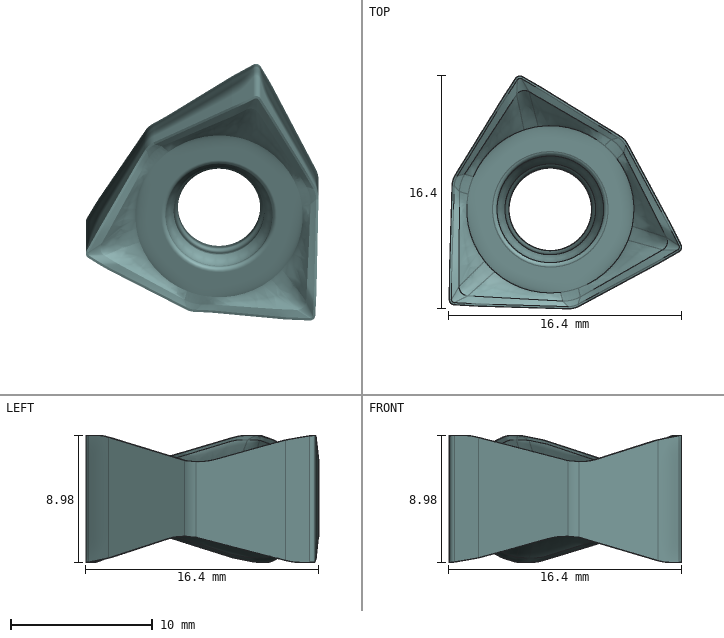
import cadquery as cq
import math

CORNERS = 3
PITCH = 360.0 / CORNERS
NOSE_ANGLE = 223.3
HEIGHT = 8.98
PEAK = HEIGHT / 2
VALLEY = 2.63
SEAT = 2.52
SEAT_RADIUS = 5.9

SIDE_DISTANCE = 6.99
SIDE_NORMAL = 45.0
WIPER_TURN = 1.5
WIPER_START = 4.87
NOSE_RADIUS = 0.38
BLUNT_RADIUS = 1.6

WIPER_NORMAL = SIDE_NORMAL - WIPER_TURN
BLUNT_HALF_TURN = 180.0 / CORNERS - SIDE_NORMAL

OVERHANG = 0.33
LAND_WIDTH = 0.16
RAKE_WIDTH = 0.55
RAKE_TURN_START = -0.82
RAKE_BLUNT_RADIUS = 2.47
RAKE_NOSE_RADIUS = 0.65
RAKE_VALLEY = 2.55
RAKE_PEAK = 4.16
HOLLOW_HEIGHT = 0.4
SEAT_NOSE_SPAN = 5.0
SEAT_BLUNT_SPAN = 6.3
CUTTER_CLEARANCE = 0.82
CUTTER_TOP = PEAK + CUTTER_CLEARANCE
SIDE_SAMPLES = 24
CORNER_SAMPLES = 8

TRAILING_SLOPE = 0.28
TRAILING_START = -0.64
TRAILING_LATE_SLOPE = 0.17
TRAILING_START_BLEND = 0.65
TRAILING_KNEE_BLEND = 0.33
LEADING_SLOPE = 0.26
LEADING_START = -1.73
LEADING_KNEE = LEADING_START + (PEAK - VALLEY) / LEADING_SLOPE
LEADING_START_BLEND = 0.25
LEADING_KNEE_BLEND = 0.5

TRAILING = -1
LEADING = 1
RAMPS = {
    TRAILING: (
        TRAILING_SLOPE, TRAILING_START, WIPER_START,
        TRAILING_LATE_SLOPE, TRAILING_START_BLEND, TRAILING_KNEE_BLEND,
    ),
    LEADING: (
        LEADING_SLOPE, LEADING_START, LEADING_KNEE,
        0.0, LEADING_START_BLEND, LEADING_KNEE_BLEND,
    ),
}

BORE_RADIUS = 2.91
COUNTERBORE_RADIUS = 3.2
SINK_RADIUS = 3.76
BORE_ROUND = COUNTERBORE_RADIUS - BORE_RADIUS
MOUTH_ROUND = 0.31
BORE_ROUND_TOP = 0.61
CONE_BOTTOM = 0.99
CONE_TOP = 1.97


def polar(radius, angle):
    a = math.radians(angle)
    return cq.Vector(radius * math.cos(a), radius * math.sin(a))


def side_point(distance, t, hand, turn_start):
    """Point at position t of a side that turns parallel to the wiper facet from turn_start on."""
    fall = max(0.0, t - turn_start) * math.tan(math.radians(WIPER_TURN))
    normal = NOSE_ANGLE + hand * SIDE_NORMAL
    return polar(distance - fall, normal) + polar(t, normal - hand * 90)


def nose_point(distance, radius, angle, turn_start):
    """Point of a nose arc that is tangent to both turned sides."""
    shift = math.radians(WIPER_TURN)
    wiper_distance = distance * math.cos(shift) + turn_start * math.sin(shift)
    centre = polar((wiper_distance - radius) / math.cos(math.radians(WIPER_NORMAL)), NOSE_ANGLE)
    return centre + polar(radius, NOSE_ANGLE + angle)


def blunt_point(distance, radius, angle, hand):
    """Point of the blunt corner arc on the given hand of the nose."""
    direction = NOSE_ANGLE + hand * PITCH / 2
    centre = polar((distance - radius) / math.cos(math.radians(BLUNT_HALF_TURN)), direction)
    return centre + polar(radius, direction + angle)


def side_range(distance, nose_radius, blunt_radius, hand, turn_start):
    """Positions of the tangent points where a flank meets its blunt corner and its nose."""
    along = polar(1.0, NOSE_ANGLE + hand * (SIDE_NORMAL - 90))
    blunt = blunt_point(distance, blunt_radius, -hand * BLUNT_HALF_TURN, hand)
    nose = nose_point(distance, nose_radius, hand * WIPER_NORMAL, turn_start)
    return blunt.dot(along), nose.dot(along)


def soft_ramp(x, half_length):
    """0 below zero, x above, with a parabola across the knee."""
    if x <= -half_length:
        return 0.0
    if x >= half_length:
        return x
    return (x + half_length) ** 2 / (4 * half_length)


def rim_rise(s, hand):
    """Rim height as a share of valley to peak; s runs from 0 at the blunt corner to 1 at the nose."""
    slope, start, knee, late_slope, start_blend, knee_blend = RAMPS[hand]
    first, last = side_range(SIDE_DISTANCE, NOSE_RADIUS, BLUNT_RADIUS, hand, WIPER_START)
    t = first + s * (last - first)
    climb = slope * soft_ramp(t - start, start_blend)
    return (climb - (slope - late_slope) * soft_ramp(t - knee, knee_blend)) / (PEAK - VALLEY)


def steps(first, last, count):
    """Evenly spaced values from first to last."""
    return [first + (last - first) * i / count for i in range(count + 1)]


def band_curves(inset, nose_radius, blunt_radius, valley, peak, turn_start=WIPER_START):
    """One sector of a band line: trailing side, nose, leading side, blunt corner."""
    distance = SIDE_DISTANCE - inset

    def curve(points, rises):
        lifted = [p + cq.Vector(0, 0, valley + r * (peak - valley)) for p, r in zip(points, rises)]
        return cq.Edge.makeSpline(lifted)

    def side(hand):
        ends = side_range(distance, nose_radius, blunt_radius, hand, turn_start)
        points = [side_point(distance, t, hand, turn_start) for t in steps(*ends, SIDE_SAMPLES)]
        return curve(points, [rim_rise(s, hand) for s in steps(0.0, 1.0, SIDE_SAMPLES)])

    nose_angles = steps(-WIPER_NORMAL, WIPER_NORMAL, CORNER_SAMPLES)
    nose = [nose_point(distance, nose_radius, a, turn_start) for a in nose_angles]
    blunt_angles = steps(-BLUNT_HALF_TURN, BLUNT_HALF_TURN, CORNER_SAMPLES)
    blunt = [blunt_point(distance, blunt_radius, a, LEADING) for a in blunt_angles]
    return [
        side(TRAILING),
        curve(nose, steps(rim_rise(1.0, TRAILING), rim_rise(1.0, LEADING), CORNER_SAMPLES)),
        side(LEADING),
        curve(blunt, steps(rim_rise(0.0, LEADING), rim_rise(0.0, TRAILING), CORNER_SAMPLES)),
    ]


def seat_arc(start, end):
    lift = cq.Vector(0, 0, SEAT)
    points = [polar(SEAT_RADIUS, NOSE_ANGLE + a) + lift for a in (start, (start + end) / 2, end)]
    return cq.Edge.makeThreePointArc(*points)


def seat_curves():
    blunt = PITCH / 2 - SEAT_BLUNT_SPAN
    return [
        seat_arc(-blunt, -SEAT_NOSE_SPAN),
        seat_arc(-SEAT_NOSE_SPAN, SEAT_NOSE_SPAN),
        seat_arc(blunt, SEAT_NOSE_SPAN),
        seat_arc(blunt, PITCH - blunt),
    ]


def all_sectors(shapes):
    """Copies of one sector's shapes, turned to every corner."""
    axis = (cq.Vector(), cq.Vector(0, 0, 1))
    return [shape.rotate(*axis, k * PITCH) for k in range(CORNERS) for shape in shapes]


def flat_face(curves):
    return cq.Face.makeFromWires(cq.Wire.combine(all_sectors(curves))[0])


def hollow(rim, toe):
    """Concave floor strip from a rake edge down to the seat."""
    middle = []
    for s in steps(0.0, 1.0, SIDE_SAMPLES):
        a, b = rim.positionAt(s), toe.positionAt(s)
        middle.append(cq.Vector((a.x + b.x) / 2, (a.y + b.y) / 2, b.z + HOLLOW_HEIGHT * (a.z - b.z)))
    return cq.occ_impl.shapes.loft(rim, cq.Edge.makeSpline(middle), toe)


def chip_former_cutter():
    """Solid above the upper face: flat land, sloping rake band, hollow floor, flat seat."""
    outer_radii = (NOSE_RADIUS + OVERHANG, BLUNT_RADIUS + OVERHANG)
    inner_radii = (NOSE_RADIUS - LAND_WIDTH, BLUNT_RADIUS - LAND_WIDTH)
    rake_radii = (RAKE_NOSE_RADIUS, RAKE_BLUNT_RADIUS)
    lid = band_curves(-OVERHANG, *outer_radii, CUTTER_TOP, CUTTER_TOP)
    outer = band_curves(-OVERHANG, *outer_radii, VALLEY, PEAK)
    land = band_curves(LAND_WIDTH, *inner_radii, VALLEY, PEAK)
    rake = band_curves(RAKE_WIDTH, *rake_radii, RAKE_VALLEY, RAKE_PEAK, RAKE_TURN_START)
    seat = seat_curves()
    lines = [lid, outer, land, rake]
    strips = []
    for upper, lower in zip(lines, lines[1:]):
        strips += [cq.Face.makeRuledSurface(a, b) for a, b in zip(upper, lower)]
    strips += [hollow(a, b) for a, b in zip(rake, seat)]
    faces = all_sectors(strips) + [flat_face(lid), flat_face(seat)]
    return cq.Workplane(cq.Solid.makeSolid(cq.Shell.makeShell(faces)))


def blank():
    """Prism with the insert's plan outline."""
    trailing_wiper = side_point(SIDE_DISTANCE, WIPER_START, TRAILING, WIPER_START)
    leading_wiper = side_point(SIDE_DISTANCE, WIPER_START, LEADING, WIPER_START)
    nose_angles = (-WIPER_NORMAL, 0, WIPER_NORMAL)
    nose = [nose_point(SIDE_DISTANCE, NOSE_RADIUS, a, WIPER_START) for a in nose_angles]
    blunt_angles = (-BLUNT_HALF_TURN, 0, BLUNT_HALF_TURN)
    blunt = [blunt_point(SIDE_DISTANCE, BLUNT_RADIUS, a, LEADING) for a in blunt_angles]
    previous_blunt = blunt_point(SIDE_DISTANCE, BLUNT_RADIUS, BLUNT_HALF_TURN, TRAILING)
    sector = [
        cq.Edge.makeLine(previous_blunt, trailing_wiper),
        cq.Edge.makeLine(trailing_wiper, nose[0]),
        cq.Edge.makeThreePointArc(*nose),
        cq.Edge.makeLine(nose[2], leading_wiper),
        cq.Edge.makeLine(leading_wiper, blunt[0]),
        cq.Edge.makeThreePointArc(*blunt),
    ]
    prism = cq.Solid.extrudeLinear(flat_face(sector), cq.Vector(0, 0, HEIGHT))
    return cq.Workplane(prism).translate((0, 0, -PEAK))


def bore_half():
    """Upper half of the bore: rounded step, countersink cone and rounded mouth."""
    diagonal = math.sqrt(0.5)
    step_z = BORE_ROUND_TOP - BORE_ROUND
    step_mid = (BORE_RADIUS + BORE_ROUND * (1 - diagonal), step_z + BORE_ROUND * diagonal)
    mouth_z = SEAT - MOUTH_ROUND
    mouth_radius = SINK_RADIUS + MOUTH_ROUND
    mouth_mid = (mouth_radius - MOUTH_ROUND * diagonal, mouth_z + MOUTH_ROUND * diagonal)
    return (
        cq.Workplane("XZ")
        .lineTo(BORE_RADIUS, 0)
        .lineTo(BORE_RADIUS, step_z)
        .threePointArc(step_mid, (COUNTERBORE_RADIUS, BORE_ROUND_TOP))
        .lineTo(COUNTERBORE_RADIUS, CONE_BOTTOM)
        .lineTo(SINK_RADIUS, CONE_TOP)
        .lineTo(SINK_RADIUS, mouth_z)
        .threePointArc(mouth_mid, (mouth_radius, SEAT))
        .lineTo(0, SEAT)
        .close()
        .revolve(360, (0, 0), (0, 1))
    )


def other_face(feature):
    """Turn an upper-face feature over onto the lower face, about the first nose's direction."""
    return feature.rotate((0, 0, 0), polar(1.0, NOSE_ANGLE).toTuple(), 180)


upper_cutter = chip_former_cutter()
upper_bore = bore_half()
bore = upper_bore.union(other_face(upper_bore))
result = blank().cut(upper_cutter).cut(other_face(upper_cutter)).cut(bore)